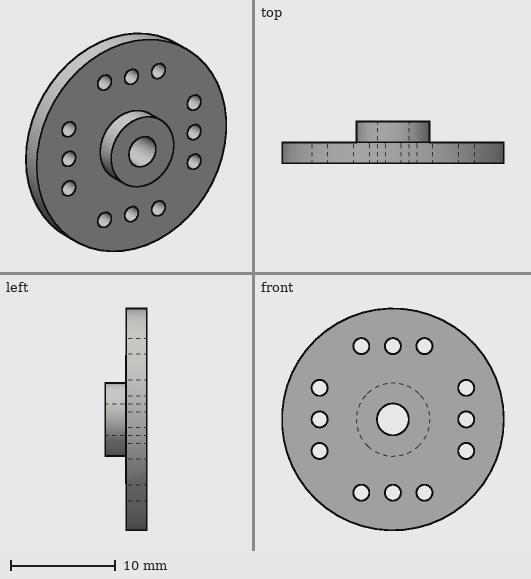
import cadquery as cq

disc_diameter = 21.2
overall_depth = 4.0
disc_thickness = overall_depth / 2
boss_diameter = 7.0
bore_diameter = 3.0
small_hole_diameter = 1.5
row_offset = 7.0
hole_pitch = 3.0


def cylinder_along_y(diameter, length):
    """Cylinder on the part axis, from the disc's front face toward +Y."""
    return cq.Workplane("XZ").circle(diameter / 2).extrude(-length)


def hole_positions():
    """X, Z centres of four rows of three holes, one row on each side."""
    positions = []
    for side in (-row_offset, row_offset):
        for along in (-hole_pitch, 0, hole_pitch):
            positions.append((along, side))
            positions.append((side, along))
    return positions


disc = cylinder_along_y(disc_diameter, disc_thickness)
boss = cylinder_along_y(boss_diameter, overall_depth)
body = disc.union(boss)

bore = cylinder_along_y(bore_diameter, overall_depth)

small_holes = (
    cq.Workplane("XZ")
    .pushPoints(hole_positions())
    .circle(small_hole_diameter / 2)
    .extrude(-disc_thickness)
)

result = body.cut(bore).cut(small_holes)